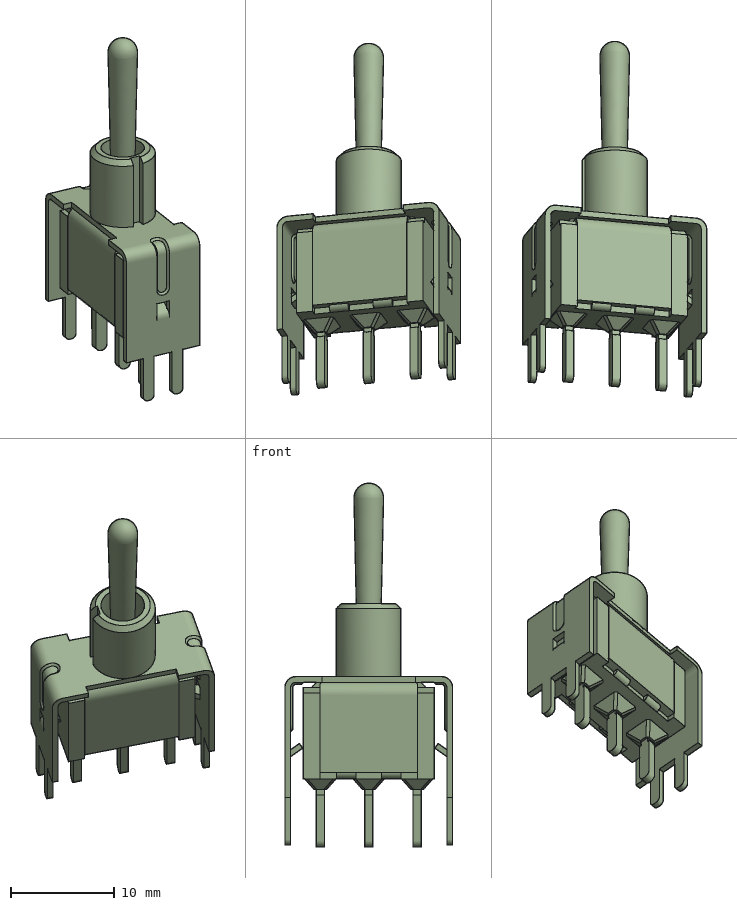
import cadquery as cq
import math


bracket_length = 16.27
bracket_depth = 8.12
sheet = 0.55
bend_inner_radius = 0.53
bend_radius = bend_inner_radius + sheet
panel_bottom = -11.72
waist_length = 9.05
waist_depth = 6.32
outer_x = bracket_length / 2

leg_width = 1.2
leg_pitch = 3.18
leg_tip = -16.35
leg_fillet = 0.53

bead_width = 1.4
bead_depth = 0.2
bead_wall_angle = 45
bead_run_down = 5.35
bead_run_across = 1.85

tongue_width = 1.4
window_top = -6.15
window_bottom = -7.9
tongue_angle = math.radians(35)
tongue_reach = 1.4
tongue_tip = -6.5

body_length = 12.7
body_depth = 6.9
body_top = -1.05
body_bottom = -9.92
ledge_height = 0.53
ledge_depth = 0.53
cover_length = 9.45
cover_depth = 7.02
cover_top_radius = 1.27
cover_bottom = -9.32
cover_lip_radius = 0.55
lip_inner_x = 1.25
lip_outer_x = 3.15
lip_recess = 0.35
underside_recess = 0.78
cover_corner_chamfer = 0.18
saddle_length = 11.0
saddle_depth = 4.25
saddle_chamfer = 0.45

terminal_pitch = 4.7
terminal_thickness = 0.8
terminal_width = 1.25
terminal_tip = -16.55
terminal_tip_radius = 0.6
terminal_shoulder = -11.47
neck_width = 0.85
seal_height = 1.05
seal_margin = 0.18
seal_spread = 0.95
seal_corner = 0.2

bushing_diameter = 6.32
bushing_height = 7.05
bushing_chamfer = 0.5
bore_diameter = 4.2
ball_center = 1.05
keyway_width = 1.02
keyway_floor = 2.4
lever_top = 18.75
lever_tip_diameter = 2.9
lever_root_diameter = 2.2


def block(length, depth, bottom, top):
    """Box centred on the lever axis between two heights."""
    return cq.Workplane("XY").workplane(offset=bottom).rect(length, depth).extrude(top - bottom)


def both_ends(left):
    """The left-hand feature together with its mirror image on the right."""
    return left.union(left.mirror("YZ"))


def bracket_shell():
    outer = block(bracket_length, bracket_depth, panel_bottom, 0)
    outer = outer.edges("|Y and >Z").fillet(bend_radius)
    inner = block(bracket_length - 2 * sheet, bracket_depth, panel_bottom, -sheet)
    inner = inner.edges("|Y and >Z").fillet(bend_inner_radius)
    shell = outer.cut(inner)
    side_cut = (bracket_depth - waist_depth) / 2
    for side in (-1, 1):
        notch = block(waist_length, side_cut, -sheet, 0)
        shell = shell.cut(notch.translate((0, side * (bracket_depth - side_cut) / 2, 0)))
    return shell


def bracket_legs():
    leg = (
        cq.Workplane("XY")
        .box(sheet, leg_width, panel_bottom - leg_tip, centered=(False, True, False))
        .edges("|X and <Z")
        .fillet(leg_fillet)
        .translate((-outer_x, 0, leg_tip))
    )
    pair = leg.translate((0, leg_pitch / 2, 0)).union(leg.translate((0, -leg_pitch / 2, 0)))
    return both_ends(pair)


def bead(offset):
    """Sloped-wall bead over the left bend, starting a given depth below the outer sheet surface."""
    axis_x = -outer_x + bend_radius
    axis_z = -bend_radius

    def arm(plane, run):
        length = 2 * (run - bend_radius)
        slot = cq.Workplane(plane).slot2D(length, bead_width).extrude(bead_depth, taper=bead_wall_angle)
        far_half = cq.Workplane(plane).center(length / 2, 0).rect(length, bead_width).extrude(bead_depth)
        return slot.intersect(far_half)

    down = arm(cq.Plane((-outer_x + offset, 0, axis_z), (0, 0, -1), (1, 0, 0)), bead_run_down)
    across = arm(cq.Plane((axis_x, 0, -offset), (1, 0, 0), (0, 0, -1)), bead_run_across)

    half_width = bead_width / 2
    floor_half_width = half_width - bead_depth * math.tan(math.radians(bead_wall_angle))
    wide_radius = bend_radius - offset
    narrow_radius = wide_radius - bead_depth
    corner = (
        cq.Workplane("XY", origin=(axis_x, 0, axis_z))
        .polyline([
            (-wide_radius, -half_width),
            (-wide_radius, half_width),
            (-narrow_radius, floor_half_width),
            (-narrow_radius, -floor_half_width),
        ])
        .close()
        .revolve(90, (0, 0), (0, 1))
    )
    return down.union(corner).union(across)


def window():
    opening = (
        cq.Workplane("XY")
        .box(sheet, tongue_width, window_top - window_bottom, centered=(False, True, False))
        .translate((-outer_x, 0, window_bottom))
    )
    return both_ends(opening)


def tongue():
    """Strip curling out of the panel at the window sill, then rising straight inward."""
    slope = math.tan(tongue_angle)
    bend_corner_z = tongue_tip - tongue_reach * slope
    bend_tangent = bend_corner_z - window_bottom
    bend_end = (
        -outer_x + bend_tangent * math.cos(tongue_angle),
        bend_corner_z + bend_tangent * math.sin(tongue_angle),
    )
    turn = math.pi / 2 - tongue_angle
    bend_outer_radius = bend_tangent / math.tan(turn / 2)
    bend_middle = (
        -outer_x + bend_outer_radius * (1 - math.cos(turn / 2)),
        window_bottom + bend_outer_radius * math.sin(turn / 2),
    )
    upper_tip = (-outer_x + tongue_reach, tongue_tip)
    lower_tip = (
        upper_tip[0] + sheet * math.sin(tongue_angle),
        upper_tip[1] - sheet * math.cos(tongue_angle),
    )
    wall_x = -outer_x + sheet
    lower_root = (wall_x, lower_tip[1] - (lower_tip[0] - wall_x) * slope)
    strip = (
        cq.Workplane("XZ", origin=(0, tongue_width / 2, 0))
        .moveTo(-outer_x, window_bottom)
        .threePointArc(bend_middle, bend_end)
        .lineTo(*upper_tip)
        .lineTo(*lower_tip)
        .lineTo(*lower_root)
        .lineTo(wall_x, window_bottom)
        .close()
        .extrude(tongue_width)
    )
    return both_ends(strip)


def bracket():
    shell = bracket_shell().union(bracket_legs())
    shell = shell.cut(both_ends(bead(0))).union(both_ends(bead(sheet)))
    return shell.cut(window()).union(tongue())


def body():
    ledge_z = body_top - ledge_height
    housing = block(body_length, body_depth, body_bottom, ledge_z)
    housing = housing.union(block(body_length, body_depth - 2 * ledge_depth, ledge_z, body_top))
    for side in (-1, 1):
        recess = block(cover_length, underside_recess, body_bottom, cover_bottom)
        housing = housing.cut(recess.translate((0, side * (body_depth - underside_recess) / 2, 0)))
    saddle = block(saddle_length, saddle_depth, body_top, -sheet)
    saddle = saddle.edges("|Y and >Z").chamfer(saddle_chamfer)
    return housing.union(saddle)


def cover():
    wrap = block(cover_length, cover_depth, cover_bottom, -sheet)
    trimmed = wrap.edges("|Y and >Z").chamfer(cover_corner_chamfer)
    wrap = wrap.edges("|X and >Z").fillet(cover_top_radius).intersect(trimmed)
    lip_depth = cover_depth - 2 * lip_recess
    lip = block(lip_outer_x - lip_inner_x, lip_depth, body_bottom, cover_bottom)
    lip = lip.edges("|X and <Z").fillet(cover_lip_radius)
    lip = lip.translate(((lip_inner_x + lip_outer_x) / 2, 0, 0))
    return wrap.union(both_ends(lip))


def terminal():
    blade = block(terminal_thickness, terminal_width, terminal_tip, terminal_shoulder)
    blade = blade.edges("|X and <Z").fillet(terminal_tip_radius)
    neck = block(terminal_thickness, neck_width, terminal_shoulder, body_bottom)
    root_length = terminal_thickness + 2 * (seal_margin + seal_spread)
    root_depth = neck_width + 2 * (seal_margin + seal_spread)
    seal = (
        cq.Workplane("XY", origin=(0, 0, body_bottom))
        .rect(root_length, root_depth)
        .workplane(offset=-seal_height)
        .rect(terminal_thickness + 2 * seal_margin, neck_width + 2 * seal_margin)
        .loft()
        .edges("not (#Z)")
        .chamfer(seal_corner)
    )
    return blade.union(neck).union(seal)


def bushing():
    sleeve = cq.Workplane("XY").circle(bushing_diameter / 2).extrude(bushing_height)
    sleeve = sleeve.faces(">Z").edges().chamfer(bushing_chamfer)
    bore = cq.Workplane("XY").circle(bore_diameter / 2).extrude(bushing_height)
    bore = bore.translate((0, 0, ball_center))
    keyway = (
        cq.Workplane("XY")
        .box(bushing_diameter, keyway_width, bushing_height, centered=(False, True, False))
        .translate((keyway_floor, 0, 0))
    )
    return sleeve.cut(bore).cut(keyway)


def lever():
    """Pivot ball seated in the bore, carrying a flared stick with a round tip."""
    tip_radius = lever_tip_diameter / 2
    root_radius = lever_root_diameter / 2
    ball_radius = bore_diameter / 2
    stick = (
        cq.Workplane("XZ")
        .moveTo(0, ball_center)
        .lineTo(root_radius, ball_center)
        .lineTo(tip_radius, lever_top - tip_radius)
        .radiusArc((0, lever_top), -tip_radius)
        .close()
        .revolve(360, (0, 0), (0, 1))
    )
    dome = (
        cq.Workplane("XZ")
        .moveTo(0, ball_center)
        .lineTo(ball_radius, ball_center)
        .radiusArc((0, ball_center + ball_radius), -ball_radius)
        .close()
        .revolve(360, (0, 0), (0, 1))
    )
    return stick.union(dome)


result = bracket().union(body()).union(cover()).union(bushing()).union(lever())
for position in (-1, 0, 1):
    result = result.union(terminal().translate((position * terminal_pitch, 0, 0)))